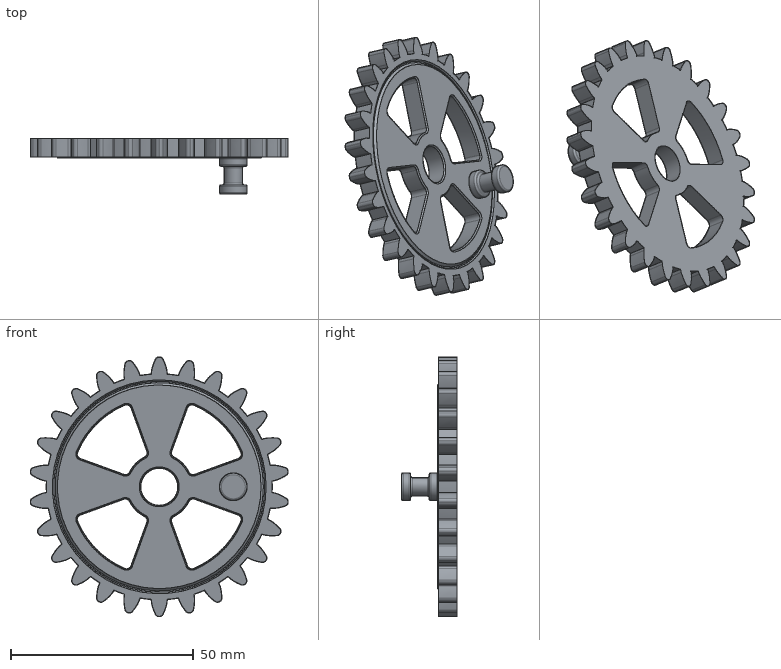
import cadquery as cq
import math


tooth_count = 26
module = 2.54
pressure_angle = math.radians(20)
pitch_radius = tooth_count * module / 2
root_radius = pitch_radius * math.cos(pressure_angle)
tip_radius = 35.625
involute_start_radius = 31.9
involute_end_radius = 35.1
tip_flat_half_width = 0.06
pitch_half_thickness = 1.87
flank_steps = 5
tooth_pitch = 2 * math.pi / tooth_count

plate_thickness = 5.11
disc_height = 0.254
face_depth = plate_thickness + disc_height
edge_chamfer = 0.381
bore_diameter = 10.16

disc_face_radius = 55.88 / 2
groove_depth = 0.381
groove_inner_radius = disc_face_radius + disc_height + groove_depth
groove_outer_radius = 57.91 / 2
groove_rim_radius = groove_outer_radius + groove_depth

window_count = 4
window_inner_radius = 9.1
window_outer_radius = 24.33
window_half_angle = math.radians(25)
window_side_shift = 0.12
window_corner_radius = 1.27

pin_offset = 20.32
pin_diameter = 7.62
pin_length = 10.16
pin_neck_diameter = 5.08
pin_collar_length = 2.54
pin_fillet = 0.508


def polar(radius, angle):
    return (radius * math.cos(angle), radius * math.sin(angle))


def involute(roll_angle):
    return math.tan(roll_angle) - roll_angle


def tooth_half_angle(radius):
    """Half the angle a tooth spans at a radius, along its involute flanks."""
    local_angle = math.acos(min(1, root_radius / radius))
    return pitch_half_thickness / pitch_radius + involute(pressure_angle) - involute(local_angle)


def tip_corner_points():
    """Middle and flat end of a tip corner arc tangent to the tip flat, as (across, up)."""
    half_angle = tooth_half_angle(involute_end_radius)
    flank_end = (involute_end_radius * math.sin(half_angle), involute_end_radius * math.cos(half_angle))
    width = flank_end[0] - tip_flat_half_width
    drop = tip_radius - flank_end[1]
    corner_radius = (width**2 + drop**2) / (2 * drop)
    half_sweep = math.asin(width / corner_radius) / 2
    arc_middle = (
        tip_flat_half_width + corner_radius * math.sin(half_sweep),
        tip_radius - corner_radius * (1 - math.cos(half_sweep)),
    )
    return arc_middle, (tip_flat_half_width, tip_radius)


def on_tooth(across, up, middle):
    """Turn a point given across and up a tooth to the tooth whose centre line is at an angle."""
    return polar(math.hypot(across, up), middle - math.atan2(across, up))


def make_toothed_plate():
    step = (involute_end_radius - involute_start_radius) / flank_steps
    flank_radii = [involute_start_radius + i * step for i in range(flank_steps + 1)]
    corner_middle, corner_end = tip_corner_points()
    root_half_angle = tooth_half_angle(root_radius)

    outline = cq.Workplane("XZ").moveTo(*polar(root_radius, math.pi / 2 - root_half_angle))
    for tooth in range(tooth_count):
        middle = math.pi / 2 + tooth * tooth_pitch
        rising = [polar(r, middle - tooth_half_angle(r)) for r in flank_radii]
        falling = [polar(r, middle + tooth_half_angle(r)) for r in reversed(flank_radii)]
        outline = outline.lineTo(*rising[0]).spline(rising[1:], includeCurrent=True)
        outline = outline.threePointArc(
            on_tooth(*corner_middle, middle), on_tooth(*corner_end, middle)
        )
        outline = outline.lineTo(*on_tooth(-corner_end[0], corner_end[1], middle))
        outline = outline.threePointArc(
            on_tooth(-corner_middle[0], corner_middle[1], middle), falling[0]
        )
        outline = outline.spline(falling[1:], includeCurrent=True)
        outline = outline.lineTo(*polar(root_radius, middle + root_half_angle))
        next_root = polar(root_radius, middle + tooth_pitch - root_half_angle)
        outline = outline.threePointArc(polar(root_radius, middle + tooth_pitch / 2), next_root)
    return outline.close().extrude(plate_thickness)


def make_raised_disc():
    return cq.Workplane("XZ").circle(groove_inner_radius).extrude(face_depth)


def make_groove():
    floor = groove_depth - plate_thickness
    section = [
        (disc_face_radius, -face_depth),
        (groove_inner_radius, floor),
        (groove_outer_radius, floor),
        (groove_rim_radius, -plate_thickness),
        (groove_rim_radius, -face_depth),
    ]
    return cq.Workplane("XY").polyline(section).close().revolve(360, (0, 0), (0, 1))


def make_window(middle):
    """Sector-shaped cutter with rounded corners."""

    def side_angle(radius):
        return window_half_angle + math.asin(window_side_shift / radius)

    inner_angle = side_angle(window_inner_radius)
    outer_angle = side_angle(window_outer_radius)
    window = (
        cq.Workplane("XZ")
        .moveTo(*polar(window_inner_radius, middle - inner_angle))
        .lineTo(*polar(window_outer_radius, middle - outer_angle))
        .threePointArc(
            polar(window_outer_radius, middle), polar(window_outer_radius, middle + outer_angle)
        )
        .lineTo(*polar(window_inner_radius, middle + inner_angle))
        .threePointArc(
            polar(window_inner_radius, middle), polar(window_inner_radius, middle - inner_angle)
        )
        .close()
        .extrude(face_depth)
    )
    return window.edges("|Y").fillet(window_corner_radius)


def make_pin():
    """Pin with a collar at each end; its rounded foot is sunk in the raised disc."""
    collar_radius = pin_diameter / 2
    neck_radius = pin_neck_diameter / 2
    foot = -plate_thickness
    end = foot - pin_length
    section = [
        (0, foot),
        (collar_radius, foot),
        (collar_radius, foot - pin_collar_length),
        (neck_radius, foot - pin_collar_length),
        (neck_radius, end + pin_collar_length),
        (collar_radius, end + pin_collar_length),
        (collar_radius, end),
        (0, end),
    ]
    pin = cq.Workplane("XY").polyline(section).close().revolve(360, (0, 0), (0, 1))
    return pin.edges("%CIRCLE").fillet(pin_fillet).translate((pin_offset, 0, 0))


def make_bore():
    return cq.Workplane("XZ").circle(bore_diameter / 2).extrude(face_depth)


gear = make_toothed_plate().union(make_raised_disc()).cut(make_groove())

for index in range(window_count):
    gear = gear.cut(make_window((index + 0.5) * 2 * math.pi / window_count))

gear = gear.cut(make_bore())
opening_edges = [edge for wire in gear.faces("<Y").val().innerWires() for edge in wire.Edges()]
gear = gear.newObject(opening_edges).chamfer(edge_chamfer)

result = gear.union(make_pin())